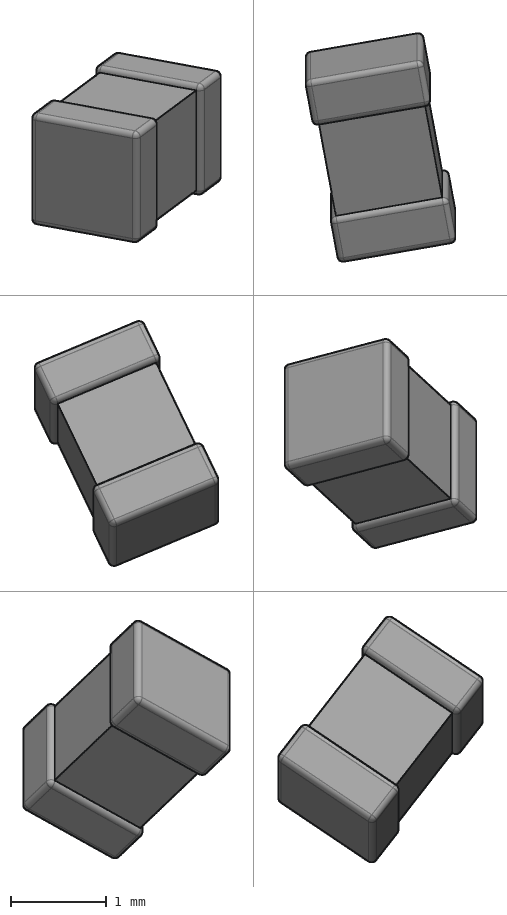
import cadquery as cq

length = 2.0
cap_width = 1.25
cap_length = length / 4
edge_radius = 0.062
body_width = cap_width - 2 * edge_radius


def end_cap(center_y):
    """Square cap with every edge rounded, centred at center_y."""
    cap = cq.Workplane("XY").box(cap_width, cap_length, cap_width)
    return cap.edges().fillet(edge_radius).translate((0, center_y, 0))


cap_offset = (length - cap_length) / 2
result = cq.Workplane("XY").box(body_width, 2 * cap_offset, body_width)

for side in (-1, 1):
    result = result.union(end_cap(side * cap_offset))